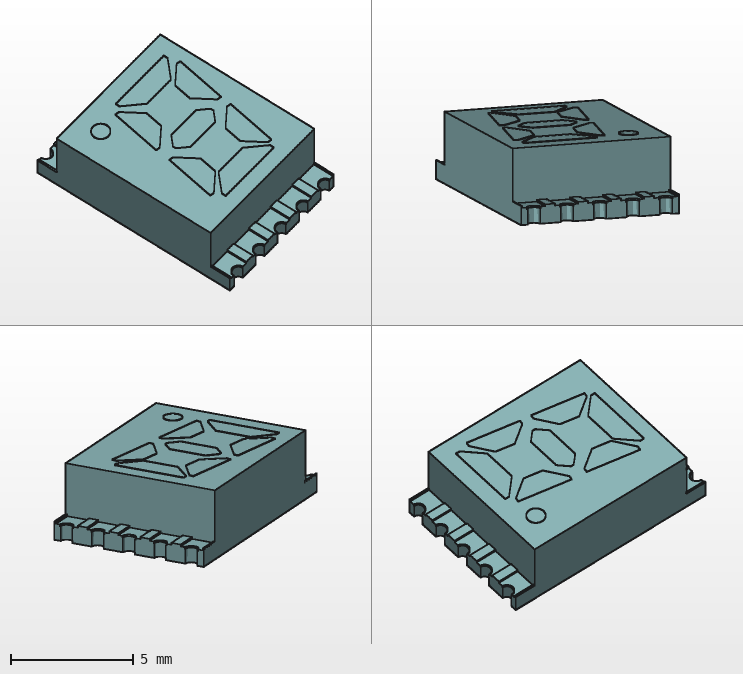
import cadquery as cq
import math

base_length = 10.0
width = 6.9
ledge_height = 0.8
body_length = 8.0
body_height = 3.02
total_height = 3.05

pads_per_side = 5
pad_pitch = 1.44
pad_width = 1.01
pad_shift = 0.02
pad_recess = 0.08
pad_floor = ledge_height - pad_recess
ledge_depth = (base_length - body_length) / 2

notch_diameter = 0.55
notch_mouth_diameter = 0.6
notch_mouth_floor = 0.65

segment_thickness = 1.0
segment_bevel = 0.8
long_segment = 3.2
short_segment = 2.5
digit_slant = 10.0

trapezoid_segments = [
    ((-3.20, 1.05), long_segment, 90),
    ((3.30, 0.05), long_segment, -90),
    ((-1.26, 2.62), short_segment, -digit_slant),
    ((1.74, 2.13), short_segment, -digit_slant),
    ((-1.64, -1.21), short_segment, 180 - digit_slant),
    ((1.56, -1.71), short_segment, 180 - digit_slant),
]

middle_center = (0.09, 0.4)
middle_length = 2.5
middle_tip_width = 0.15
middle_bevel = (segment_thickness - middle_tip_width) / 2

dot_diameter = 0.8
dot_center = (-2.8, -2.05)


def make_package():
    """Base plate with the narrower body standing on it."""
    base = cq.Workplane("XY").box(base_length, width, ledge_height, centered=(True, True, False))
    body = cq.Workplane("XY").box(body_length, width, body_height, centered=(True, True, False))
    return base.union(body)


def notch_positions():
    """Y positions of the notches along one side."""
    first = -pad_pitch * (pads_per_side - 1) / 2
    return [first + i * pad_pitch for i in range(pads_per_side)]


def cut_pads(part):
    """Sink the pads into both ledges and notch the end faces at each pad."""
    pad_x = (base_length - ledge_depth) / 2
    end_x = base_length / 2
    pad_centers = [(side * pad_x, y + pad_shift) for side in (-1, 1) for y in notch_positions()]
    notch_centers = [(side * end_x, y) for side in (-1, 1) for y in notch_positions()]

    recesses = (
        cq.Workplane("XY", origin=(0, 0, pad_floor))
        .pushPoints(pad_centers)
        .rect(ledge_depth, pad_width)
        .extrude(pad_recess)
    )
    notches = (
        cq.Workplane("XY")
        .pushPoints(notch_centers)
        .circle(notch_diameter / 2)
        .extrude(ledge_height)
    )
    mouths = (
        cq.Workplane("XY", origin=(0, 0, notch_mouth_floor))
        .pushPoints(notch_centers)
        .circle(notch_mouth_diameter / 2)
        .extrude(ledge_height - notch_mouth_floor)
    )
    return part.cut(recesses).cut(notches).cut(mouths)


def raise_outline(points):
    """Extrude a closed outline from the body top to the full height."""
    return (
        cq.Workplane("XY", origin=(0, 0, body_height))
        .polyline(points)
        .close()
        .extrude(total_height - body_height)
    )


def trapezoid_segment(edge_midpoint, length, rotation):
    """Segment with two 45 degree bevels, placed by the middle of its long edge."""
    half = length / 2
    bevel_start = segment_bevel - segment_thickness
    outline = [
        (-half, 0),
        (half, 0),
        (half, bevel_start),
        (half - segment_bevel, -segment_thickness),
        (segment_bevel - half, -segment_thickness),
        (-half, bevel_start),
    ]
    cos_r = math.cos(math.radians(rotation))
    sin_r = math.sin(math.radians(rotation))
    mid_x, mid_y = edge_midpoint
    return raise_outline([
        (mid_x + x * cos_r - y * sin_r, mid_y + x * sin_r + y * cos_r)
        for x, y in outline
    ])


def middle_segment():
    """Bar bevelled at all four corners."""
    return (
        cq.Workplane("XY", origin=(0, 0, body_height))
        .center(*middle_center)
        .rect(segment_thickness, middle_length)
        .extrude(total_height - body_height)
        .edges("|Z")
        .chamfer(middle_bevel)
    )


def decimal_point():
    """Raised round dot."""
    return (
        cq.Workplane("XY", origin=(0, 0, body_height))
        .center(*dot_center)
        .circle(dot_diameter / 2)
        .extrude(total_height - body_height)
    )


result = cut_pads(make_package())
for edge_midpoint, length, rotation in trapezoid_segments:
    result = result.union(trapezoid_segment(edge_midpoint, length, rotation))
result = result.union(middle_segment()).union(decimal_point())